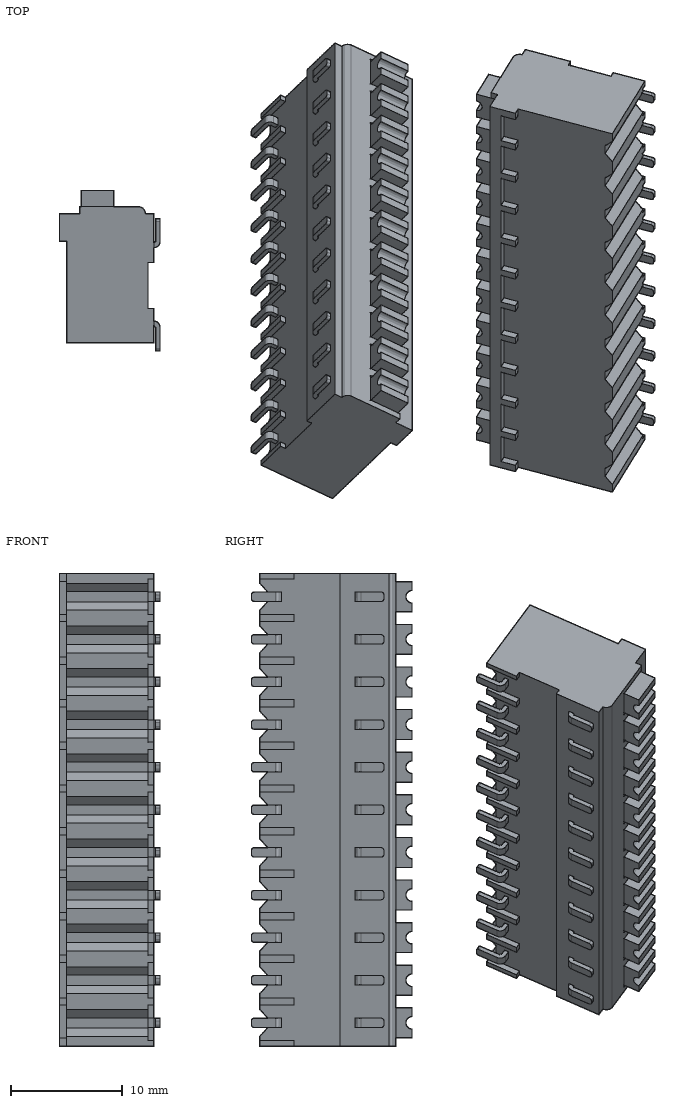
import cadquery as cq


POLES = 11
PITCH = 3.81
LENGTH = 42.3
FIRST_POLE = (LENGTH - (POLES - 1) * PITCH) / 2
POLE_CENTRES = [FIRST_POLE + i * PITCH for i in range(POLES)]

FLANGE_DEPTH = 0.64
STEP_X = 1.8
ROUND_START_X = 7.15
RAISED_END_X = 7.7
TOP_ROUND_RADIUS = 0.65
HOUSING_X = 8.45
FOOT_DEPTH = 0.52
RECESS_X = HOUSING_X - FOOT_DEPTH

HOUSING_BOTTOM_Y = 0.75
RECESS_START_Y = 3.82
RECESS_END_Y = 7.92
FLANGE_BOTTOM_Y = 9.83
FLANGE_STRIP_Y = 11.22
SHOULDER_Y = 12.3
RAISED_Y = 12.92

TAB_WIDTH = 0.66
END_TAB_WIDTH = 0.75
FOOT_POCKET_WIDTH = 3.15
GROOVE_DEPTH = 0.69
GROOVE_FLOOR_WIDTH = 0.9
GROOVE_MOUTH_WIDTH = 2.4

LEVER_X = 1.93
LEVER_LENGTH = 2.95
LEVER_WIDTH = 2.7
LEVER_TOP_Y = 14.38
LEVER_NOTCH_RADIUS = 0.55
LEVER_CLEARANCE = 0.12

PIN_WIDTH = 0.85
PIN_THICKNESS = 0.4
PIN_OUTER_X = 9.0
PIN_BEND_RADIUS = 0.55
PIN_INNER_RADIUS = PIN_BEND_RADIUS - PIN_THICKNESS
PIN_TIP_RADIUS = 0.25
LOWER_PIN_BEND_Y = 2.7
LOWER_PIN_TIP_Y = 0.0
UPPER_PIN_BEND_Y = 9.25
UPPER_PIN_TIP_Y = 11.85


def box(x0, x1, y0, y1, z0, z1):
    """Box between opposite corners."""
    return cq.Workplane("XY").box(x1 - x0, y1 - y0, z1 - z0, centered=False).translate((x0, y0, z0))


def housing_blank():
    """End profile of the housing, extruded along the row."""
    return (
        cq.Workplane("XY")
        .moveTo(FLANGE_DEPTH, HOUSING_BOTTOM_Y)
        .lineTo(HOUSING_X, HOUSING_BOTTOM_Y)
        .lineTo(HOUSING_X, RECESS_START_Y)
        .lineTo(RECESS_X, RECESS_START_Y)
        .lineTo(RECESS_X, RECESS_END_Y)
        .lineTo(HOUSING_X, RECESS_END_Y)
        .lineTo(HOUSING_X, SHOULDER_Y)
        .lineTo(RAISED_END_X, SHOULDER_Y)
        .radiusArc((ROUND_START_X, RAISED_Y), -TOP_ROUND_RADIUS)
        .lineTo(STEP_X, RAISED_Y)
        .lineTo(STEP_X, SHOULDER_Y)
        .lineTo(0, SHOULDER_Y)
        .lineTo(0, FLANGE_BOTTOM_Y)
        .lineTo(FLANGE_DEPTH, FLANGE_BOTTOM_Y)
        .close()
        .extrude(LENGTH)
    )


def flange_pocket(z):
    """Gap between two flange tabs, narrowed at the row ends by the wider end tabs."""
    half = (PITCH - TAB_WIDTH) / 2
    z0 = max(z - half, END_TAB_WIDTH)
    z1 = min(z + half, LENGTH - END_TAB_WIDTH)
    return box(0, FLANGE_DEPTH, FLANGE_BOTTOM_Y, FLANGE_STRIP_Y, z0, z1)


def foot_pocket(z):
    """Opening in the right-hand foot, where the lower pin leaves the housing."""
    half = FOOT_POCKET_WIDTH / 2
    return box(RECESS_X, HOUSING_X, HOUSING_BOTTOM_Y, RECESS_START_Y, z - half, z + half)


def cross_groove(z):
    """Trapezoidal groove across the underside."""
    floor_y = HOUSING_BOTTOM_Y + GROOVE_DEPTH
    return (
        cq.Workplane("YZ")
        .moveTo(HOUSING_BOTTOM_Y, z - GROOVE_MOUTH_WIDTH / 2)
        .lineTo(floor_y, z - GROOVE_FLOOR_WIDTH / 2)
        .lineTo(floor_y, z + GROOVE_FLOOR_WIDTH / 2)
        .lineTo(HOUSING_BOTTOM_Y, z + GROOVE_MOUTH_WIDTH / 2)
        .close()
        .extrude(HOUSING_X)
    )


def lever_window(z):
    """Window in the raised top around a lever, open towards the step."""
    half = LEVER_WIDTH / 2 + LEVER_CLEARANCE
    window_end_x = LEVER_X + LEVER_LENGTH + LEVER_CLEARANCE
    return box(STEP_X, window_end_x, SHOULDER_Y, RAISED_Y, z - half, z + half)


def lever(z):
    """Release lever with a half-round screwdriver notch across its top."""
    half = LEVER_WIDTH / 2
    block = box(LEVER_X, LEVER_X + LEVER_LENGTH, SHOULDER_Y, LEVER_TOP_Y, z - half, z + half)
    notch = (
        cq.Workplane("YZ", origin=(LEVER_X, 0, 0))
        .center(LEVER_TOP_Y, z)
        .circle(LEVER_NOTCH_RADIUS)
        .extrude(LEVER_LENGTH)
    )
    return block.cut(notch)


def pin(z, bend_y, tip_y):
    """L-shaped pin leaving the right side at bend_y and running along Y to tip_y."""
    direction = 1 if tip_y > bend_y else -1
    inner_x = PIN_OUTER_X - PIN_THICKNESS
    inner_y = bend_y + direction * PIN_THICKNESS
    corner = "<Y" if direction > 0 else ">Y"
    tip = ">Y" if direction > 0 else "<Y"
    return (
        cq.Workplane("XY", origin=(0, 0, z - PIN_WIDTH / 2))
        .moveTo(RECESS_X, bend_y)
        .lineTo(PIN_OUTER_X, bend_y)
        .lineTo(PIN_OUTER_X, tip_y)
        .lineTo(inner_x, tip_y)
        .lineTo(inner_x, inner_y + direction * PIN_INNER_RADIUS)
        .radiusArc((inner_x - PIN_INNER_RADIUS, inner_y), -direction * PIN_INNER_RADIUS)
        .lineTo(RECESS_X, inner_y)
        .close()
        .extrude(PIN_WIDTH)
        .faces(corner).edges("|Z and >X").fillet(PIN_BEND_RADIUS)
        .faces(tip).edges("|X").fillet(PIN_TIP_RADIUS)
    )


result = housing_blank()
for pole_z in POLE_CENTRES:
    result = result.cut(flange_pocket(pole_z))
    result = result.cut(foot_pocket(pole_z))
    result = result.cut(cross_groove(pole_z))
    result = result.cut(lever_window(pole_z))
for pole_z in POLE_CENTRES:
    result = result.union(lever(pole_z))
    result = result.union(pin(pole_z, LOWER_PIN_BEND_Y, LOWER_PIN_TIP_Y))
    result = result.union(pin(pole_z, UPPER_PIN_BEND_Y, UPPER_PIN_TIP_Y))